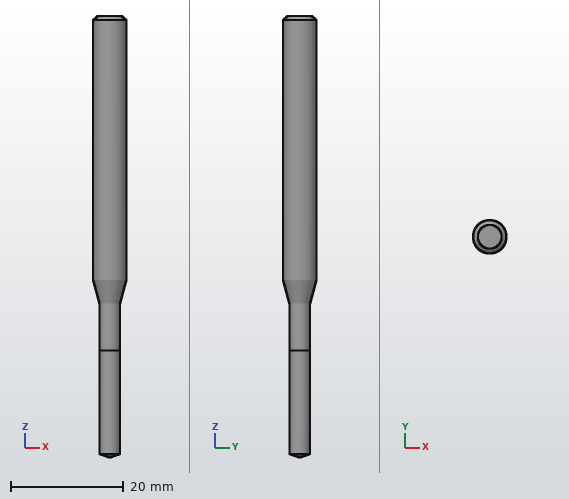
import cadquery as cq
import math

total_length = 78.7
shank_diameter = 6.0
drill_diameter = 3.7
point_angle = 140.0
cutting_length = 19.1
taper_bottom = 27.4
taper_top = 31.6
end_chamfer_width = 0.9
end_chamfer_height = 0.8

shank_radius = shank_diameter / 2
drill_radius = drill_diameter / 2
tip_height = drill_radius / math.tan(math.radians(point_angle / 2))


def revolve_profile(points):
    """Turn a closed (radius, height) outline around the Z axis."""
    outline = cq.Workplane("YZ").polyline(points).close()
    return outline.revolve(360, (0, 0), (0, 1))


def make_cutting_part():
    """Cylindrical cutting length with a conical tip."""
    return revolve_profile([
        (0, 0),
        (drill_radius, tip_height),
        (drill_radius, cutting_length),
        (0, cutting_length),
    ])


def make_shank():
    """Neck, taper and shank with a chamfered end."""
    return revolve_profile([
        (0, cutting_length),
        (drill_radius, cutting_length),
        (drill_radius, taper_bottom),
        (shank_radius, taper_top),
        (shank_radius, total_length - end_chamfer_height),
        (shank_radius - end_chamfer_width, total_length),
        (0, total_length),
    ])


cutting_part = make_cutting_part()
shank = make_shank()

result = cq.Compound.makeCompound([cutting_part.val(), shank.val()])